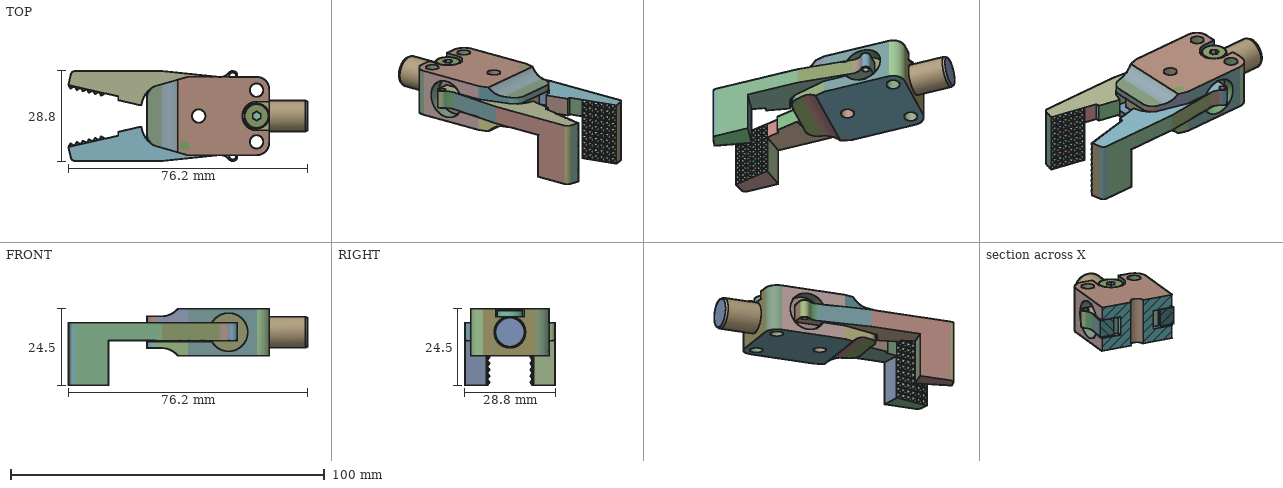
import cadquery as cq
import math


back_x = 27.0
front_x = -12.05
half_width = 12.5
body_height = 15.0
nose_height = 10.2
taper_start_x = 1.1
taper_angle = 16
corner_radius = 4.0
scoop_start_x = -7.25
scoop_radius = 6.55
lip_chamfer = 0.4

slot_height = 6.0
web_front_x = -9.15
web_half_width = 5.95
wide_web_x = 6.1

bolt_hole_dia = 4.2
front_hole_x = 4.5
rear_hole_x = 22.95
rear_hole_y = 8.2
side_bore_dia = 12.2
side_bore_x = 14.0
side_bore_depth = 4.05
stub_dia = 10.0
stub_end_x = 39.2
stub_chamfer_length = 0.8
stub_chamfer_depth = 0.4

recess_width = 9.15
recess_depth = 2.5
screw_dia = 8.0
screw_sink = 0.45
screw_chamfer = 0.2
hex_width = 2.5
hex_depth = 2.3

pivot_y = 9.5
pivot_dia = 3.05

overall_width = 28.75
jaw_outer_y = overall_width / 2
jaw_tip_x = -37.05
jaw_tip_y = 9.9
jaw_thickness = 5.7
finger_height = 20.0
finger_end_x = -24.2
grip_angle = 13
tip_radius = 1.5
step_x = -21.2
step_height = 1.2
heel_x = -13.7
heel_radius = 0.3
throat_mid = (-12.8, 6.25)
throat_end = (-11.35, 8.15)
arm_inner_y = 6.5
tail_start_x = 5.3
tail_clearance = 0.15
bend_x = -7.25
arm_end = (10.9, 12.5)
eyelet_x = 15.3
eyelet_radius = 1.5
eyelet_hole_dia = 2.05
eyelet_y = jaw_outer_y - eyelet_radius
arm_end_x = eyelet_x + eyelet_radius
eyelet_join_x = 14.0

tooth_rows = 10
tooth_columns = 6
tooth_pitch = finger_height / tooth_rows
tooth_height = tooth_pitch / 2
tooth_root = 0.4

body_top = body_height / 2
slot_top = slot_height / 2
bore_floor_y = half_width - side_bore_depth
taper_slope = math.tan(math.radians(taper_angle))
grip_slope = math.tan(math.radians(grip_angle))


def upright_cylinder(x, y, dia, z_low, z_high):
    """A cylinder along Z between two heights."""
    return cq.Workplane("XY", origin=(x, y, z_low)).circle(dia / 2).extrude(z_high - z_low)


def housing_block():
    """The plate outline with a tapered front and rounded corners."""
    nose_half_width = half_width - taper_slope * (taper_start_x - front_x)
    return (
        cq.Workplane("XY", origin=(0, 0, -body_top))
        .moveTo(back_x, -half_width)
        .lineTo(back_x, half_width)
        .lineTo(taper_start_x, half_width)
        .lineTo(front_x, nose_half_width)
        .lineTo(front_x, -nose_half_width)
        .lineTo(taper_start_x, -half_width)
        .close()
        .extrude(body_height)
        .edges("|Z and (>X or <X)")
        .fillet(corner_radius)
    )


def nose_scoop():
    """The material above the thin nose: flat, then a concave arc up to the chamfered lip."""
    nose_top = nose_height / 2
    rise = body_top - nose_top
    lip_z = body_top - lip_chamfer
    lip_rise = rise - lip_chamfer
    lip_x = scoop_start_x + math.sqrt(scoop_radius**2 - (scoop_radius - lip_rise) ** 2)
    mid_angle = math.acos(1 - lip_rise / scoop_radius) / 2
    arc_mid = (
        scoop_start_x + scoop_radius * math.sin(mid_angle),
        nose_top + scoop_radius * (1 - math.cos(mid_angle)),
    )
    return (
        cq.Workplane("XZ", origin=(0, half_width, 0))
        .moveTo(front_x, nose_top)
        .lineTo(scoop_start_x, nose_top)
        .threePointArc(arc_mid, (lip_x, lip_z))
        .lineTo(lip_x + lip_chamfer, body_top)
        .lineTo(front_x, body_top)
        .close()
        .extrude(2 * half_width)
    )


def jaw_slots():
    """The gap between the plates, from the front into the side bores, around the central web."""

    def slab(x_low, x_high, half_y):
        return cq.Workplane("XY", origin=((x_low + x_high) / 2, 0, 0)).box(
            x_high - x_low, 2 * half_y, slot_height
        )

    narrow_web = slab(web_front_x, side_bore_x, web_half_width)
    wide_web = slab(wide_web_x, side_bore_x, bore_floor_y)
    return slab(front_x, side_bore_x, half_width).cut(narrow_web).cut(wide_web)


def stub():
    """The mounting stub at the back, with a chamfered end."""
    radius = stub_dia / 2
    return (
        cq.Workplane("XY")
        .moveTo(back_x - corner_radius, 0)
        .lineTo(back_x - corner_radius, radius)
        .lineTo(stub_end_x - stub_chamfer_length, radius)
        .lineTo(stub_end_x, radius - stub_chamfer_depth)
        .lineTo(stub_end_x, 0)
        .close()
        .revolve(360, (0, 0), (1, 0))
    )


def screw_recess():
    """A round-ended recess in the top face, open at the back."""
    floor_z = body_top - recess_depth
    round_end = upright_cylinder(rear_hole_x, 0, recess_width, floor_z, body_top)
    opening = cq.Workplane("XY").box(
        back_x - rear_hole_x, recess_width, recess_depth, centered=(False, True, False)
    )
    return round_end.union(opening.translate((rear_hole_x, 0, floor_z)))


def screw_head():
    """The clamp screw head, standing on the recess floor."""
    top_z = body_top - screw_sink
    head = upright_cylinder(rear_hole_x, 0, screw_dia, body_top - recess_depth, top_z)
    return head.faces(">Z").chamfer(screw_chamfer)


def hex_socket():
    """The hexagonal socket in the screw head, with two corners pointing along Y."""
    top_z = body_top - screw_sink
    return (
        cq.Workplane("XY", origin=(rear_hole_x, 0, top_z - hex_depth))
        .transformed(rotate=(0, 0, 90))
        .polygon(6, hex_width / math.cos(math.radians(30)))
        .extrude(hex_depth)
    )


def make_housing():
    scoop = nose_scoop()
    body = housing_block().cut(scoop).cut(scoop.mirror("XY")).cut(jaw_slots())
    for x, y in [(front_hole_x, 0), (rear_hole_x, rear_hole_y), (rear_hole_x, -rear_hole_y)]:
        body = body.cut(upright_cylinder(x, y, bolt_hole_dia, -body_top, body_top))
    bore = (
        cq.Workplane("XZ", origin=(side_bore_x, half_width, 0))
        .circle(side_bore_dia / 2)
        .extrude(side_bore_depth)
    )
    body = body.cut(bore).cut(bore.mirror("XZ"))
    body = body.union(stub()).cut(screw_recess()).union(screw_head()).cut(hex_socket())
    for side in (1, -1):
        pin = upright_cylinder(0, side * pivot_y, pivot_dia, -body_top, body_top)
        body = body.union(pin, clean=False)
    return body


def jaw_outline():
    """The jaw seen from above, on the +Y side, drawn at the top face of the jaw."""
    end_rise = jaw_outer_y - jaw_tip_y
    step_y = jaw_tip_y - grip_slope * (step_x - jaw_tip_x)
    heel_y = step_y - step_height - grip_slope * (heel_x - step_x)
    join_y = eyelet_y + math.sqrt(eyelet_radius**2 - (eyelet_x - eyelet_join_x) ** 2)
    tail_inner_y = bore_floor_y + tail_clearance
    return (
        cq.Workplane("XY", origin=(0, 0, slot_top))
        .moveTo(jaw_tip_x, jaw_tip_y)
        .lineTo(jaw_tip_x + grip_slope * end_rise, jaw_outer_y)
        .lineTo(bend_x, jaw_outer_y)
        .lineTo(*arm_end)
        .tangentArcPoint((eyelet_join_x, join_y), relative=False)
        .threePointArc((eyelet_x, jaw_outer_y), (arm_end_x, eyelet_y))
        .lineTo(arm_end_x, tail_inner_y)
        .lineTo(tail_start_x, tail_inner_y)
        .lineTo(0, arm_inner_y)
        .lineTo(*throat_end)
        .threePointArc(throat_mid, (heel_x, heel_y))
        .lineTo(step_x, step_y - step_height)
        .lineTo(step_x, step_y)
        .close()
    )


def space_below_arm():
    """The space behind the finger; the slanted finger end meets the face at the last tooth."""
    face_run = tooth_columns * tooth_pitch * math.cos(math.radians(grip_angle))
    face_end_x = jaw_tip_x + face_run
    face_end_y = jaw_tip_y - grip_slope * face_run
    return (
        cq.Workplane("XY", origin=(0, 0, slot_top - finger_height))
        .moveTo(face_end_x, 0)
        .lineTo(face_end_x, face_end_y)
        .lineTo(finger_end_x, jaw_outer_y)
        .lineTo(arm_end_x, jaw_outer_y)
        .lineTo(arm_end_x, 0)
        .close()
        .extrude(finger_height - jaw_thickness)
    )


def grip_teeth():
    """A grid of pyramids: ridges along Z crossed with ridges along the gripping face."""
    angle = math.radians(grip_angle)
    along = (math.cos(angle), -math.sin(angle), 0)
    start = (jaw_tip_x, jaw_tip_y, slot_top)
    face_length = tooth_columns * tooth_pitch

    def sawtooth(count, plane, length):
        profile = cq.Workplane(plane).moveTo(0, -tooth_root).lineTo(0, 0)
        for i in range(count):
            profile = profile.lineTo((i + 0.5) * tooth_pitch, tooth_height)
            profile = profile.lineTo((i + 1) * tooth_pitch, 0)
        return profile.lineTo(count * tooth_pitch, -tooth_root).close().extrude(length)

    down_plane = cq.Plane(origin=start, xDir=along, normal=(0, 0, -1))
    along_plane = cq.Plane(origin=start, xDir=(0, 0, -1), normal=tuple(-a for a in along))
    upright_ridges = sawtooth(tooth_columns, down_plane, finger_height)
    level_ridges = sawtooth(tooth_rows, along_plane, -face_length)
    return upright_ridges.intersect(level_ridges)


def make_jaw():
    """The jaw on the +Y side."""
    mid_z = slot_top - finger_height / 2
    blank = jaw_outline().extrude(-finger_height)
    blank = blank.edges(cq.selectors.NearestToPointSelector((jaw_tip_x, jaw_outer_y, mid_z))).fillet(tip_radius)
    blank = blank.edges(cq.selectors.NearestToPointSelector((heel_x, 0, mid_z))).fillet(heel_radius)
    jaw = blank.cut(space_below_arm())
    jaw = jaw.union(grip_teeth())
    arm_bottom = slot_top - jaw_thickness
    jaw = jaw.cut(upright_cylinder(0, pivot_y, pivot_dia, arm_bottom, slot_top))
    return jaw.cut(upright_cylinder(eyelet_x, eyelet_y, eyelet_hole_dia, arm_bottom, slot_top))


housing = make_housing()
left_jaw = make_jaw()
jaws = [jaw.solids().val() for jaw in (left_jaw, left_jaw.mirror("XZ"))]

result = cq.Compound.makeCompound([housing.solids().val(), *jaws])